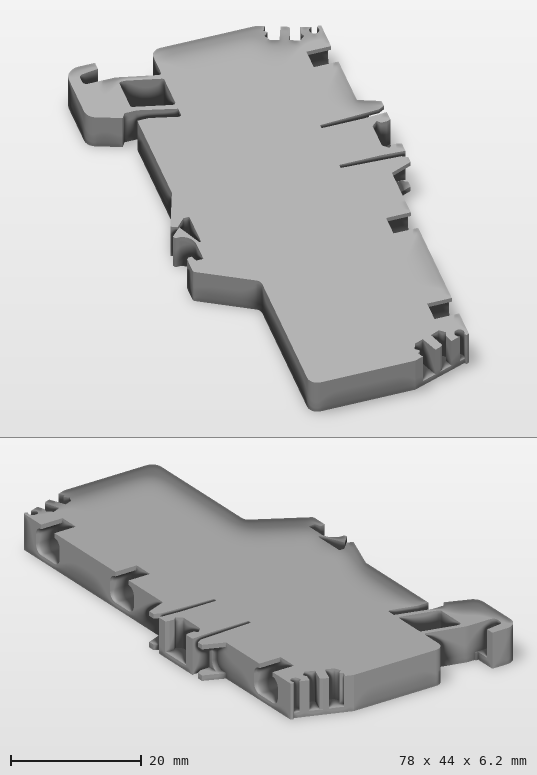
import cadquery as cq

LENGTH = 78.0
HEIGHT = 44.0
THICKNESS = 6.2
MID_X = LENGTH / 2
SHOULDER_Y = 40.5
BELLY_Y = 13.9
SLOPE_START_Y = 30.8
BELLY_RADIUS = 1.6

BACK_SKIN = 0.9
FRONT_SKIN = 0.8
HOLLOW_Z = THICKNESS - BACK_SKIN - FRONT_SKIN

HOLDER_X = 28.9
SLIT_BOTTOM_Y = 33.4
PRONG_WINDOW_Y = 41.4
PRONG_FOOT_HALF = 8.5
PRONG_INNER_HALF = 5.15
PRONG_HOLLOW_HALF = 6.1

WIRE_ENTRY_X = (7.9, 46.65, 66.6)
WIRE_ENTRY_WIDTH = 3.6
WIRE_ENTRY_DEPTH = 4.0
HOLLOW_RADIUS = 1.4

END_GROOVE_RADIUS = 0.8

RAIL_Y = 7.1
FOOT_TOP_Y = 5.0
FOOT_RADIUS = 2.35
ARM_X = 4.05
ARM_WINDOW_RADIUS = 0.4
LEDGE_X = 3.8
LEDGE_TOP_Y = 5.45
FOOT_POCKET_FLOOR = 1.3
FOOT_POCKET_Y = 1.8
FOOT_POCKET_RADIUS = 0.7


def prism(points, bottom=0.0, top=THICKNESS):
    """Extrude a closed XY polygon between two Z levels."""
    return cq.Workplane("XY").workplane(offset=bottom).polyline(points).close().extrude(top - bottom)


def both_sides(points, center_x):
    """Complete a left half outline with its mirror image about X = center_x."""
    mirrored = [(2 * center_x - x, y) for x, y in reversed(points)]
    return points + mirrored


def with_mirror(solid, center_x):
    """Join a solid with its mirror image about X = center_x."""
    return solid.union(solid.mirror("YZ", (center_x, 0, 0)))


def housing():
    left_half = [
        (0, BELLY_Y),
        (0, SLOPE_START_Y),
        (3.05, 39.3),
        (3.2, 39.8),
        (2.9, 40.1),
        (3.1, SHOULDER_Y),
    ]
    plate = prism(both_sides(left_half, MID_X))
    return plate.edges("|Z and <Y").fillet(BELLY_RADIUS)


def marker_holder():
    """Solid outline of both prongs and the block between them, before the slits are cut."""
    left_half = [
        (HOLDER_X - PRONG_FOOT_HALF, SHOULDER_Y),
        (HOLDER_X - 7.1, HEIGHT),
    ]
    return prism([(HOLDER_X - PRONG_FOOT_HALF, SLIT_BOTTOM_Y)]
                 + both_sides(left_half, HOLDER_X)
                 + [(HOLDER_X + PRONG_FOOT_HALF, SLIT_BOTTOM_Y)])


def holder_slits():
    slit = prism([
        (HOLDER_X - 6.0, HEIGHT),
        (HOLDER_X - 5.45, 43.05),
        (HOLDER_X - 5.0, SLIT_BOTTOM_Y),
        (HOLDER_X - 4.3, SLIT_BOTTOM_Y),
        (HOLDER_X - 4.3, 40.2),
        (HOLDER_X - 4.5, HEIGHT),
    ])
    return with_mirror(slit, HOLDER_X)


def prong_hollows():
    """Window through each prong, and the rounded hollow below it that opens outwards."""
    window = cq.Workplane("XY").box(
        PRONG_FOOT_HALF - PRONG_INNER_HALF, HEIGHT - PRONG_WINDOW_Y, HOLLOW_Z, centered=False
    ).translate((HOLDER_X - PRONG_FOOT_HALF, PRONG_WINDOW_Y, BACK_SKIN))
    foot = cq.Workplane("XY").box(
        PRONG_FOOT_HALF - PRONG_HOLLOW_HALF, PRONG_WINDOW_Y - SHOULDER_Y, HOLLOW_Z, centered=False
    ).edges("|Y and >X").fillet(HOLLOW_RADIUS)
    foot = foot.translate((HOLDER_X - PRONG_FOOT_HALF, SHOULDER_Y, BACK_SKIN))
    return with_mirror(window.union(foot), HOLDER_X)


def marker_socket():
    left_half = [
        (HOLDER_X - 2.8, HEIGHT),
        (HOLDER_X - 2.6, 43.4),
        (HOLDER_X - 2.6, 42.4),
        (HOLDER_X - 3.1, 41.9),
        (HOLDER_X - 2.3, 40.95),
    ]
    return prism(both_sides(left_half, HOLDER_X), BACK_SKIN)


def wire_entry(left_x):
    """Notch through the front skin over a wider hollow with rounded corners."""
    floor_y = SHOULDER_Y - WIRE_ENTRY_DEPTH
    notch = cq.Workplane("XY").box(
        WIRE_ENTRY_WIDTH, WIRE_ENTRY_DEPTH, THICKNESS - BACK_SKIN, centered=False
    ).translate((left_x, floor_y, BACK_SKIN))
    hollow = cq.Workplane("XY").box(
        WIRE_ENTRY_WIDTH + 2 * HOLLOW_RADIUS, WIRE_ENTRY_DEPTH, HOLLOW_Z, centered=False
    ).edges("|Y").fillet(HOLLOW_RADIUS)
    return notch.union(hollow.translate((left_x - HOLLOW_RADIUS, floor_y, BACK_SKIN)))


def end_grooves():
    """Blind grooves in both sloped ends: a round one and two keyed ones."""
    round_groove = (
        cq.Workplane("XY").workplane(offset=BACK_SKIN)
        .center(3.7, 39.15).circle(END_GROOVE_RADIUS).extrude(THICKNESS - BACK_SKIN)
    )
    upper_key = prism([
        (2.0, 37.5), (3.75, 37.0), (4.45, 37.3), (5.2, 36.35), (4.6, 34.9), (2.0, 35.8), (1.6, 35.4),
        (1.2, 35.65),
    ], BACK_SKIN)
    lower_key = prism([
        (0.8, 34.7), (4.1, 33.4), (3.6, 32.0), (2.5, 31.5), (1.9, 32.2), (1.4, 31.75), (0.7, 32.05),
        (0, 32.75),
    ], BACK_SKIN)
    return with_mirror(round_groove.union(upper_key).union(lower_key), MID_X)


def rail_hook():
    """Rail seat under the housing, with a thin barbed finger and a fixed hook."""
    outline = (
        cq.Workplane("XY")
        .moveTo(15.05, BELLY_Y)
        .threePointArc((15.3, 13.7), (15.4, 13.4))
        .lineTo(14.2, 9.0)
        .lineTo(14.2, RAIL_Y)
        .lineTo(31.05, RAIL_Y)
        .lineTo(38.1, 4.5)
        .lineTo(38.45, 5.6)
        .lineTo(36.9, 7.0)
        .lineTo(36.9, 7.95)
        .lineTo(42.7, 7.95)
        .lineTo(42.7, 7.65)
        .lineTo(38.6, 5.8)
        .lineTo(40.25, 4.2)
        .lineTo(40.7, 4.45)
        .lineTo(40.7, 5.15)
        .threePointArc((41.35, 6.4), (43.0, RAIL_Y))
        .lineTo(46.4, RAIL_Y)
        .lineTo(46.4, 5.9)
        .lineTo(45.4, 5.5)
        .lineTo(45.4, 5.0)
        .lineTo(45.7, 4.7)
        .lineTo(48.35, 4.7)
        .threePointArc((48.6, 4.75), (48.75, 4.9))
        .lineTo(53.6, 13.4)
        .threePointArc((54.0, 13.7), (54.5, BELLY_Y))
        .close()
    )
    return outline.extrude(THICKNESS)


def spring_foot():
    """Release foot hanging from two slanted spring arms."""
    foot = (
        cq.Workplane("XY")
        .moveTo(5.3, BELLY_Y)
        .threePointArc((5.5, 13.7), (5.6, 13.3))
        .lineTo(ARM_X + 0.1, 7.25)
        .tangentArcPoint((ARM_X, 6.55), relative=False)
        .lineTo(ARM_X, FOOT_TOP_Y)
        .lineTo(0, FOOT_TOP_Y)
        .lineTo(0, FOOT_RADIUS)
        .radiusArc((FOOT_RADIUS, 0), -FOOT_RADIUS)
        .lineTo(9.7, 0)
        .tangentArcPoint((11.55, 1.5), relative=False)
        .lineTo(12.95, 5.15)
        .lineTo(12.0, 5.8)
        .lineTo(12.0, 7.8)
        .lineTo(13.65, BELLY_Y)
        .close()
        .extrude(THICKNESS)
    )
    window = prism([
        (6.6, BELLY_Y), (5.2, 8.2), (5.2, RAIL_Y), (11.0, RAIL_Y), (12.55, 13.25), (12.55, BELLY_Y),
    ]).edges("|Z and (<Y or >Y)").fillet(ARM_WINDOW_RADIUS)
    pocket = prism([
        (1.4, FOOT_TOP_Y), (1.9, FOOT_POCKET_Y), (ARM_X, FOOT_POCKET_Y), (ARM_X, FOOT_TOP_Y),
    ], FOOT_POCKET_FLOOR).edges("|Z and <Y").fillet(FOOT_POCKET_RADIUS)
    ledge = prism([
        (LEDGE_X, FOOT_TOP_Y), (ARM_X, FOOT_TOP_Y), (ARM_X, LEDGE_TOP_Y), (LEDGE_X, LEDGE_TOP_Y),
    ], top=FOOT_POCKET_FLOOR)
    return foot.cut(window).cut(pocket).union(ledge)


result = housing().union(marker_holder()).union(rail_hook()).union(spring_foot())
result = result.cut(holder_slits()).cut(prong_hollows()).cut(marker_socket()).cut(end_grooves())
for entry_x in WIRE_ENTRY_X:
    result = result.cut(wire_entry(entry_x))